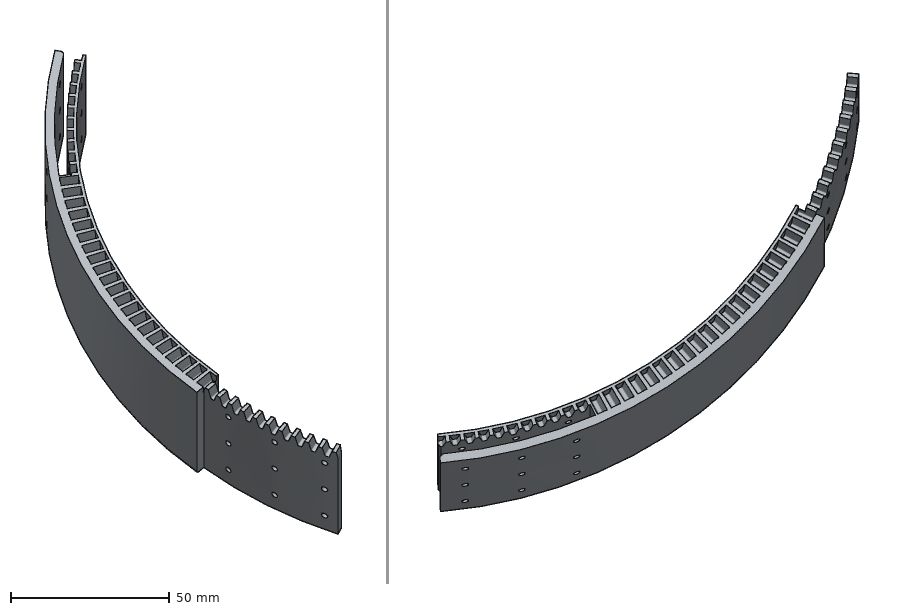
import cadquery as cq
import math

height = 40.0

lip_inner_radius = 140.0
lip_outer_radius = 141.0
socket_inner_radius = 143.0
skin_inner_radius = 147.0
skin_outer_radius = 150.0
tongue_clearance = 0.2
tongue_inner_radius = socket_inner_radius + tongue_clearance
tongue_outer_radius = skin_inner_radius - tongue_clearance

left_end = -40.0
socket_end = -20.0
right_end = 19.0
overall_length = 188.5
tongue_reach = overall_length - skin_outer_radius * math.sin(math.radians(-left_end))
tongue_end = math.degrees(math.asin(tongue_reach / tongue_outer_radius))

gap_pitch = 1.88
gap_offset = -0.25
gap_top_width = 3.4
gap_floor_width = 1.3
gap_depth = 3.4
gap_floor_fillet = 0.4
first_gap = -21
last_gap = 21

lead_in = 0.8
bottom_chamfer = 0.5

hole_diameter = 2.0
hole_mid_angle = 30.0
hole_angle_step = 7.0
hole_height_step = 13.0

cutter_margin = 1.9
cutter_start = lip_inner_radius - cutter_margin
cutter_length = skin_outer_radius + cutter_margin - cutter_start


def polar_point(radius, angle):
    turn = math.radians(angle)
    return radius * math.sin(turn), -radius * math.cos(turn)


def curved_plate(inner_radius, outer_radius, start, end):
    """Full-height plate between two radii and two angles."""
    middle = (start + end) / 2
    return (
        cq.Workplane("XY")
        .moveTo(*polar_point(outer_radius, start))
        .threePointArc(polar_point(outer_radius, middle), polar_point(outer_radius, end))
        .lineTo(*polar_point(inner_radius, end))
        .threePointArc(polar_point(inner_radius, middle), polar_point(inner_radius, start))
        .close()
        .extrude(height)
    )


def radial_workplane():
    """Work plane facing -Y at the start of the radial cutters, with local Y up."""
    return cq.Workplane("XZ").workplane(offset=cutter_start)


def turned(cutter, angle):
    return cutter.rotate((0, 0, 0), (0, 0, 1), angle)


def tooth_gap():
    """Cutter for the gap at angle zero, narrowing toward its rounded floor."""
    half_top = gap_top_width / 2
    half_floor = gap_floor_width / 2
    floor = height - gap_depth
    outline = [(-half_top, height), (-half_floor, floor), (half_floor, floor), (half_top, height)]
    cutter = radial_workplane().polyline(outline).close().extrude(cutter_length)
    return cutter.faces("<Z").edges("|Y").fillet(gap_floor_fillet)


def fixing_hole(z):
    """Cutter for a hole at angle zero."""
    return radial_workplane().center(0, z).circle(hole_diameter / 2).extrude(cutter_length)


def upright_edge(radius, angle):
    """Selector for the vertical edge nearest a polar position."""
    return cq.selectors.NearestToPointSelector(polar_point(radius, angle) + (height / 2,))


middle = curved_plate(lip_outer_radius, skin_inner_radius, socket_end, right_end)
socket_wall = curved_plate(lip_outer_radius, socket_inner_radius, left_end, socket_end)
socket_wall = socket_wall.edges(upright_edge(socket_inner_radius, left_end)).chamfer(lead_in)
tongue = curved_plate(tongue_inner_radius, tongue_outer_radius, right_end, tongue_end)
tongue = tongue.edges(upright_edge(tongue_inner_radius, tongue_end)).chamfer(lead_in)
core = middle.union(socket_wall).union(tongue)
for index in range(first_gap, last_gap + 1):
    core = core.cut(turned(tooth_gap(), index * gap_pitch + gap_offset))

smallest_arc = cq.selectors.RadiusNthSelector(0)
largest_arc = cq.selectors.RadiusNthSelector(-1)
lip = curved_plate(lip_inner_radius, lip_outer_radius, left_end, right_end)
lip = lip.faces("<Z").edges("%CIRCLE").edges(smallest_arc).chamfer(bottom_chamfer)
skin = curved_plate(skin_inner_radius, skin_outer_radius, left_end, right_end)
skin = skin.faces("<Z").edges("%CIRCLE").edges(largest_arc).chamfer(bottom_chamfer)
skin = skin.edges(upright_edge(skin_inner_radius, left_end)).chamfer(lead_in)
result = core.union(lip).union(skin)

for side in (-1, 1):
    for column in (-1, 0, 1):
        for row in (-1, 0, 1):
            hole_angle = side * hole_mid_angle + column * hole_angle_step
            hole_height = height / 2 + row * hole_height_step
            result = result.cut(turned(fixing_hole(hole_height), hole_angle))